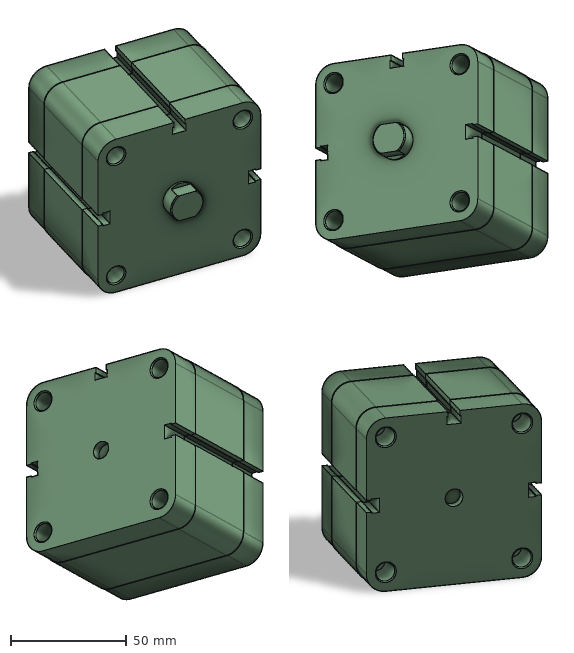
import cadquery as cq

barrel_side = 80.0
barrel_length = 35.7
cap_length = 14.6
cap_inset = 0.2
body_length = barrel_length + 2 * cap_length

bolt_offset = 31.0
bolt_hole_diameter = 8.4
bolt_chamfer = 0.6

slot_neck_width = 5.5
slot_neck_depth = 3.0
slot_wide_width = 6.1
slot_depth = 5.9
slot_angles = (-90, 0, 90)

center_hole_diameter = 8.0
center_hole_depth = 4.0

rod_diameter = 16.0
rod_length = 7.5
rod_tip_chamfer = 0.5
rod_flat_width = 13.0
rod_flat_start = 1.4
rod_flat_run_in = 0.4


def extruded_square(side, corner_radius, start, length):
    """Rounded square block lying along X."""
    block = cq.Workplane("YZ", origin=(start, 0, 0)).rect(side, side).extrude(length)
    return block.edges("|X").fillet(corner_radius)


def t_slot(start, length, clearance):
    """T-slot cutter in the +Z side, with its wide part enlarged all round by the clearance."""
    top = barrel_side / 2
    neck_y = slot_neck_width / 2
    wide_y = slot_wide_width / 2 + clearance
    shoulder_z = top - slot_neck_depth + clearance
    floor_z = top - slot_depth - clearance
    outline = [
        (-neck_y, top),
        (-neck_y, shoulder_z),
        (-wide_y, shoulder_z),
        (-wide_y, floor_z),
        (wide_y, floor_z),
        (wide_y, shoulder_z),
        (neck_y, shoulder_z),
        (neck_y, top),
    ]
    return cq.Workplane("YZ", origin=(start, 0, 0)).polyline(outline).close().extrude(length)


def profile_section(start, length, inset):
    """Length of slotted, bolted square profile whose surfaces are moved inward by the inset."""
    half_side = barrel_side / 2 - inset
    section = extruded_square(2 * half_side, half_side - bolt_offset, start, length)
    for angle in slot_angles:
        section = section.cut(t_slot(start, length, inset).rotate((0, 0, 0), (1, 0, 0), angle))
    bolt_holes = (
        cq.Workplane("YZ", origin=(start, 0, 0))
        .rect(2 * bolt_offset, 2 * bolt_offset, forConstruction=True)
        .vertices()
        .circle(bolt_hole_diameter / 2)
        .extrude(length)
    )
    return section.cut(bolt_holes)


def make_barrel():
    return profile_section(cap_length, barrel_length, 0)


def make_cap():
    """End cap at the -X end, with chamfered bolt holes in its outer face."""
    cap = profile_section(0, cap_length, cap_inset)
    round_edges = cap.faces("<X").edges("%CIRCLE")
    hole_rims = round_edges.edges(cq.selectors.RadiusNthSelector(0))
    return hole_rims.chamfer(bolt_chamfer)


def make_rear_cap():
    center_hole = cq.Workplane("YZ").circle(center_hole_diameter / 2).extrude(center_hole_depth)
    return make_cap().cut(center_hole)


def make_front_cap():
    return make_cap().mirror("YZ", (body_length / 2, 0, 0))


def flat_cutter():
    """Cutter for the +Z wrench flat, with a sloped step at its inner end."""
    flat_z = rod_flat_width / 2
    rod_radius = rod_diameter / 2
    flat_x = body_length + rod_flat_start
    tip_x = body_length + rod_length
    outline = [
        (flat_x, flat_z),
        (flat_x - rod_flat_run_in, rod_radius),
        (tip_x, rod_radius),
        (tip_x, flat_z),
    ]
    return cq.Workplane("XZ").polyline(outline).close().extrude(rod_radius, both=True)


def make_rod():
    rod = (
        cq.Workplane("YZ", origin=(body_length, 0, 0))
        .circle(rod_diameter / 2)
        .extrude(rod_length)
        .faces(">X")
        .chamfer(rod_tip_chamfer)
    )
    upper_flat = flat_cutter()
    return rod.cut(upper_flat).cut(upper_flat.mirror("XY"))


barrel = make_barrel()
rear_cap = make_rear_cap()
front_cap = make_front_cap()
rod = make_rod()

result = cq.Compound.makeCompound([rear_cap.val(), barrel.val(), front_cap.val(), rod.val()])